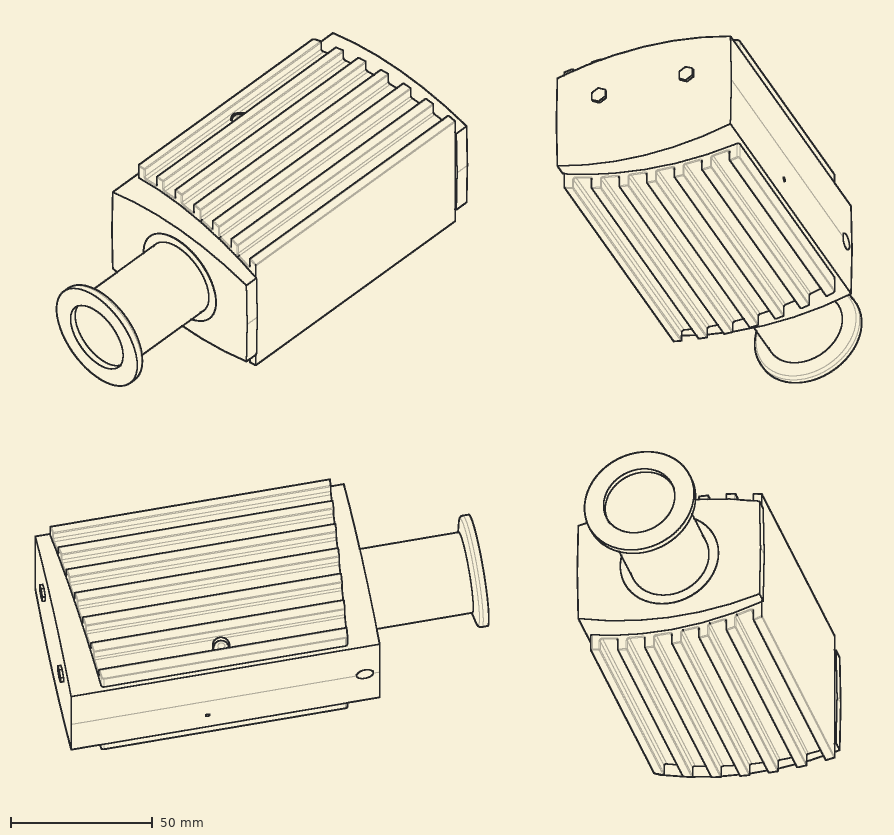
import cadquery as cq
import math


overall_length = 154.1

housing_front = 41.9
housing_back = 153.0
housing_length = housing_back - housing_front
housing_width = 67.0
half_width_middle = housing_width / 2
half_width_corner = 33.1
corner_height = 19.1
crown_height = 23.7
crown_rise = crown_height - corner_height
crown_radius = (half_width_corner**2 + crown_rise**2) / (2 * crown_rise)
crown_center = crown_height - crown_radius

overall_height = 59.0
fin_height = overall_height / 2
floor_height = 25.0
fin_count = 7
groove_count = fin_count - 1
fin_pitch = 10.2
fin_width = 3.5
fin_middle = 0.6
fin_root_fillet = 0.8
fin_tip_fillet = 0.3
above_fins = fin_height + 1.5
plate_left = -31.7
plate_right = 32.7
plate_left_front = 53.2
plate_left_back = 141.8
plate_right_front = 47.0
plate_right_back = 147.8
plate_corner_fillet = 1.0


def groove_center(index):
    """X of the middle of a groove between two fins, counted from the left."""
    return fin_middle + (index - (groove_count - 1) / 2) * fin_pitch


button_x = groove_center(0)
button_y = 97.4
button_hole_diameter = 6.0
button_hole_floor = 20.0
button_diameter = 5.5
button_flat_diameter = 2.5
button_side_height = 0.8
button_dome_height = 1.5

screw_y = 47.3
screw_hole_diameter = 6.0
screw_recess_depth = 4.6
screw_diameter = 5.5
screw_end_length = 0.8
screw_chamfer = 0.39
screw_socket_flats = 2.8
screw_socket_depth = 1.5

indicator_y = 103.9
indicator_z = -10.6
indicator_diameter = 1.5
indicator_depth = 1.5

tube_x = 0.23
tube_diameter = 29.0
flange_diameter = 40.0
flange_rim = 3.1
flange_taper_angle = 15
flange_edge_fillet = 1.2
collar_diameter = 35.9
collar_depth = 3.1
collar_step = 0.2
bore_diameter = 26.0
bore_depth = 2.3

post_flats = 5.1
post_height = overall_length - housing_back
post_spacing = 33.5
post_z = 6.8


def along_y(start):
    """Workplane in XZ at Y = start, extruding toward +Y; its local axes are X and -Z."""
    return cq.Workplane(cq.Plane(origin=(0, start, 0), xDir=(1, 0, 0), normal=(0, 1, 0)))


def make_shell():
    """Housing block with bowed top and bottom and slightly ridged sides."""
    profile = (
        along_y(housing_front)
        .moveTo(half_width_middle, 0)
        .lineTo(half_width_corner, corner_height)
        .threePointArc((0, crown_height), (-half_width_corner, corner_height))
        .lineTo(-half_width_middle, 0)
        .lineTo(-half_width_corner, -corner_height)
        .threePointArc((0, -crown_height), (half_width_corner, -corner_height))
        .close()
    )
    return profile.extrude(housing_length)


def crown_cylinder(height):
    """Cylinder concentric with the upper crown, its top line at the given height."""
    return (
        along_y(housing_front)
        .center(0, -crown_center)
        .circle(height - crown_center)
        .extrude(housing_length)
    )


def round_edges(plate):
    """Round the outline of every fin tip and the upper outline of both end faces."""
    tip_radius = fin_height - crown_center
    edges = plate.faces("<Y or >Y").edges().vals()
    for face in plate.faces("%CYLINDER").vals():
        center = face.Center()
        if math.hypot(center.x, center.z - crown_center) > tip_radius - fin_tip_fillet and center.z > 0:
            edges.extend(face.Edges())
    upper_edges = {edge.hashCode(): edge for edge in edges if edge.Center().z > corner_height}
    return plate.newObject(list(upper_edges.values())).fillet(fin_tip_fillet)


def make_fin_plate():
    """Upper fins and the floor between them, trimmed to the slanted plate outline."""
    fins = crown_cylinder(fin_height)
    floor_cutter = crown_cylinder(above_fins).cut(crown_cylinder(floor_height))
    for index in range(groove_count):
        groove = (
            cq.Workplane("XY")
            .center(groove_center(index), (housing_front + housing_back) / 2)
            .rect(fin_pitch - fin_width, housing_length)
            .extrude(above_fins)
            .intersect(floor_cutter)
        )
        groove = groove.faces("<Z").edges("|Y").fillet(fin_root_fillet)
        fins = fins.cut(groove)
    outline = (
        cq.Workplane("XY")
        .polyline(
            [
                (plate_left, plate_left_front),
                (plate_right, plate_right_front),
                (plate_right, plate_right_back),
                (plate_left, plate_left_back),
            ]
        )
        .close()
        .extrude(above_fins)
        .edges("|Z and <X")
        .fillet(plate_corner_fillet)
    )
    plate = fins.intersect(outline)
    return round_edges(plate)


def make_button():
    """Domed push button standing on the floor of its hole and cast with the housing."""
    radius = button_diameter / 2
    flat_radius = button_flat_diameter / 2
    arc_middle = math.sqrt(0.5)
    top = button_side_height + button_dome_height
    return (
        cq.Workplane("XZ")
        .lineTo(radius, 0)
        .lineTo(radius, button_side_height)
        .threePointArc(
            (
                flat_radius + (radius - flat_radius) * arc_middle,
                button_side_height + button_dome_height * arc_middle,
            ),
            (flat_radius, top),
        )
        .lineTo(0, top)
        .close()
        .revolve(360, (0, 0, 0), (0, 1, 0))
        .translate((button_x, button_y, button_hole_floor))
    )


def left_side(y, z=0):
    """Workplane at the left side's middle ridge, extruding into the housing; its local x is Z."""
    return cq.Workplane(cq.Plane(origin=(-half_width_middle, y, z), xDir=(0, 0, 1), normal=(1, 0, 0)))


def hexagon_corners(flats):
    """Distance across the corners of a hexagon, from its distance across flats."""
    return flats / math.cos(math.pi / 6)


def cut_screw_recess(housing):
    """Sink a hole into the left side, ending on a chamfered screw end with a hexagon socket."""
    recess = left_side(screw_y).circle(screw_hole_diameter / 2).extrude(screw_recess_depth)
    screw_end = (
        left_side(screw_y)
        .workplane(offset=screw_recess_depth)
        .circle(screw_diameter / 2)
        .extrude(-screw_end_length)
        .faces("<X")
        .chamfer(screw_chamfer)
    )
    socket = (
        left_side(screw_y)
        .workplane(offset=screw_recess_depth - screw_end_length)
        .polygon(6, hexagon_corners(screw_socket_flats))
        .extrude(screw_socket_depth)
    )
    return housing.cut(recess.cut(screw_end)).cut(socket)


def make_side_recess():
    """Cutter that trims the right side flush with the fin plate, along the plate's length."""
    return (
        cq.Workplane("XY")
        .center(plate_right, plate_right_front)
        .rect(housing_width - plate_right, plate_right_back - plate_right_front, centered=False)
        .extrude(crown_height, both=True)
    )


def make_housing():
    plate = make_fin_plate()
    housing = make_shell().union(plate).union(plate.mirror("XY"))
    button_hole = (
        cq.Workplane("XY", origin=(button_x, button_y, button_hole_floor))
        .circle(button_hole_diameter / 2)
        .extrude(above_fins - button_hole_floor)
    )
    housing = housing.cut(button_hole).union(make_button())
    housing = cut_screw_recess(housing)
    indicator = left_side(indicator_y, indicator_z).circle(indicator_diameter / 2).extrude(indicator_depth)
    collar_seat = along_y(housing_front).center(tube_x, 0).circle(collar_diameter / 2).extrude(collar_depth)
    return housing.cut(make_side_recess()).cut(indicator).cut(collar_seat)


def make_tube():
    """Tube turned from one profile: flange with a shallow bore, neck, and a collar set in the housing."""
    tube_radius = tube_diameter / 2
    flange_radius = flange_diameter / 2
    collar_radius = collar_diameter / 2
    bore_radius = bore_diameter / 2
    taper_end = flange_rim + (flange_radius - tube_radius) * math.tan(math.radians(flange_taper_angle))
    collar_front = housing_front - collar_step
    collar_back = housing_front + collar_depth
    return (
        cq.Workplane("XY")
        .polyline(
            [
                (0, bore_depth),
                (bore_radius, bore_depth),
                (bore_radius, 0),
                (flange_radius, 0),
                (flange_radius, flange_rim),
                (tube_radius, taper_end),
                (tube_radius, collar_front),
                (collar_radius, collar_front),
                (collar_radius, collar_back),
                (0, collar_back),
            ]
        )
        .close()
        .revolve(360, (0, 0, 0), (0, 1, 0))
        .edges(cq.selectors.RadiusNthSelector(-1))
        .edges(">Y")
        .fillet(flange_edge_fillet)
        .translate((tube_x, 0, 0))
    )


def make_post(x):
    """Hexagonal post on the housing's back, with corners pointing up and down."""
    base = cq.Plane(origin=(x, housing_back, post_z), xDir=(0, 0, 1), normal=(0, 1, 0))
    return cq.Workplane(base).polygon(6, hexagon_corners(post_flats)).extrude(post_height)


housing = make_housing()
tube = make_tube()
posts = [make_post(tube_x + side * post_spacing / 2) for side in (-1, 1)]

result = cq.Compound.makeCompound([housing.val(), tube.val(), *[post.val() for post in posts]])